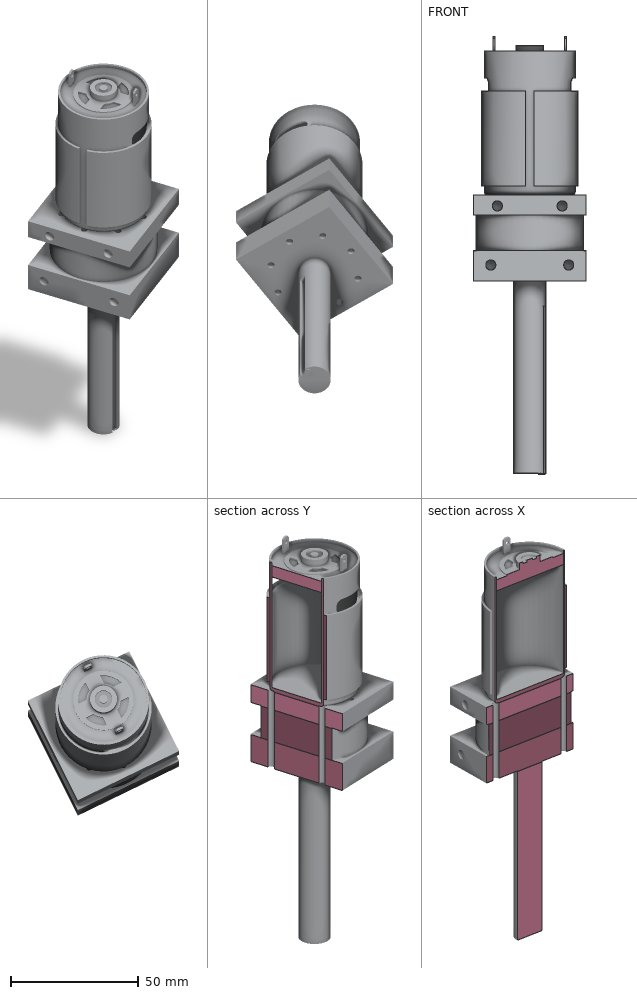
import cadquery as cq
import math


TOTAL_HEIGHT = 172.2
FRONT_BLOCK_BOTTOM = 76.0
FRONT_BLOCK_HEIGHT = 12.0
RING_HEIGHT = 14.0
REAR_BLOCK_HEIGHT = 8.0
RING_BOTTOM = FRONT_BLOCK_BOTTOM + FRONT_BLOCK_HEIGHT
REAR_BLOCK_BOTTOM = RING_BOTTOM + RING_HEIGHT
CAN_BOTTOM = REAR_BLOCK_BOTTOM + REAR_BLOCK_HEIGHT
CAN_TOP = 166.5

SHAFT_RADIUS = 6.4
SHAFT_BOTTOM = 0.3
KEYWAY_WIDTH = 3.1
KEYWAY_DEPTH = 1.5
KEYWAY_TOP = 66.1
KEYWAY_ANGLE = -16.7
PIP_RADIUS = 1.29
PIP_X = 4.6

BLOCK_SIDE = 44.5
RING_RADIUS = 21.2
SCREW_CIRCLE_RADIUS = 17.4
SCREW_HOLE_RADIUS = 1.4
SCREW_COUNT = 8
SIDE_HOLE_RADIUS = 1.98
SIDE_HOLE_DEPTH = 6.9
DRILL_POINT_ANGLE = 118.0
FRONT_BLOCK_HOLE_X = 15.3
FRONT_BLOCK_HOLE_Z = 82.3
REAR_BLOCK_HOLE_X = 12.7
REAR_BLOCK_HOLE_Z = 105.5

CAN_RADIUS = 17.9
CAN_WALL = 0.9
CAN_INNER_RADIUS = CAN_RADIUS - CAN_WALL
CAN_BOTTOM_FILLET = 1.4
VENT_WIDTH = 15.5
VENT_BOTTOM = 149.5
VENT_TOP = 155.8
VENT_CORNER_RADIUS = 2.5

FLUX_RING_RADIUS = 19.0
FLUX_RING_BOTTOM = 113.5
FLUX_RING_TOP = 150.6
FLUX_RING_GAP = 3.5

CAP_RECESS = 1.4
CAP_THICKNESS = 5.2
CAP_FACE = CAN_TOP - CAP_RECESS
DISC_RADIUS = 11.9
DISC_HEIGHT = 0.5
DISC_TOP = CAP_FACE + DISC_HEIGHT
POCKET_OUTER_RADIUS = 10.0
POCKET_INNER_RADIUS = 6.7
POCKET_DEPTH = 0.9
SPOKE_WIDTH = 6.4
BOSS_RADIUS = 5.3
BOSS_TOP = 168.5
BORE_RADIUS = 3.5
BORE_DEPTH = 0.9
SPINDLE_RADIUS = 1.64

TERMINAL_X = 14.03
TERMINAL_THICKNESS = 0.9
TERMINAL_WIDTH = 3.3
TERMINAL_CHAMFER = 0.7
TERMINAL_HOLE_RADIUS = 0.77
TERMINAL_HOLE_Z = TOTAL_HEIGHT - 2.4


def cylinder(radius, bottom, top):
    return cq.Workplane("XY").workplane(offset=bottom).circle(radius).extrude(top - bottom)


def tube(outer_radius, inner_radius, bottom, top):
    return (
        cq.Workplane("XY")
        .workplane(offset=bottom)
        .circle(outer_radius)
        .circle(inner_radius)
        .extrude(top - bottom)
    )


def upright_box(length_x, width_y, bottom, top):
    return cq.Workplane("XY").workplane(offset=bottom).rect(length_x, width_y).extrude(top - bottom)


def make_output_shaft():
    shaft = cylinder(SHAFT_RADIUS, SHAFT_BOTTOM, FRONT_BLOCK_BOTTOM)
    cutter_x = SHAFT_RADIUS - KEYWAY_DEPTH + SHAFT_RADIUS / 2
    keyway = (
        upright_box(SHAFT_RADIUS, KEYWAY_WIDTH, SHAFT_BOTTOM, KEYWAY_TOP)
        .translate((cutter_x, 0, 0))
        .rotate((0, 0, 0), (0, 0, 1), KEYWAY_ANGLE)
    )
    pip = cylinder(PIP_RADIUS, 0, SHAFT_BOTTOM).translate((PIP_X, 0, 0))
    return shaft.cut(keyway).union(pip)


def screw_holes(bottom, height):
    return (
        cq.Workplane("XY")
        .workplane(offset=bottom)
        .polarArray(SCREW_CIRCLE_RADIUS, 0, 360, SCREW_COUNT)
        .circle(SCREW_HOLE_RADIUS)
        .extrude(height)
    )


def side_hole(x, z):
    """Blind drilled hole with a conical end, running in from the -Y side."""
    point_length = SIDE_HOLE_RADIUS / math.tan(math.radians(DRILL_POINT_ANGLE / 2))
    half_profile = (
        cq.Workplane("XY")
        .polyline([
            (0, 0),
            (SIDE_HOLE_RADIUS, 0),
            (SIDE_HOLE_RADIUS, SIDE_HOLE_DEPTH),
            (0, SIDE_HOLE_DEPTH + point_length),
        ])
        .close()
    )
    return half_profile.revolve(360, (0, 0), (0, 1)).translate((x, -BLOCK_SIDE / 2, z))


def make_block(bottom, height, hole_x, hole_z):
    block = upright_box(BLOCK_SIDE, BLOCK_SIDE, bottom, bottom + height)
    block = block.cut(screw_holes(bottom, height))
    for x in (-hole_x, hole_x):
        block = block.cut(side_hole(x, hole_z))
    return block


def make_gear_ring():
    ring = cylinder(RING_RADIUS, RING_BOTTOM, REAR_BLOCK_BOTTOM)
    return ring.cut(screw_holes(RING_BOTTOM, RING_HEIGHT))


def make_can():
    can = cylinder(CAN_RADIUS, CAN_BOTTOM, CAN_TOP).faces("<Z").edges().fillet(CAN_BOTTOM_FILLET)
    can = can.cut(cylinder(CAN_INNER_RADIUS, CAN_BOTTOM + 2 * CAN_WALL, CAN_TOP))
    vent = upright_box(2 * FLUX_RING_RADIUS, VENT_WIDTH, VENT_BOTTOM, VENT_TOP)
    return can.cut(vent.edges("|X").fillet(VENT_CORNER_RADIUS))


def make_flux_ring():
    ring = tube(FLUX_RING_RADIUS, CAN_RADIUS, FLUX_RING_BOTTOM, FLUX_RING_TOP)
    gap = upright_box(FLUX_RING_GAP, FLUX_RING_RADIUS, FLUX_RING_BOTTOM, FLUX_RING_TOP)
    return ring.cut(gap.translate((0, -FLUX_RING_RADIUS, 0)))


def cap_pockets():
    """Ring-shaped recess in the disc, divided into four pockets by two crossing spokes."""
    floor = DISC_TOP - POCKET_DEPTH
    pockets = tube(POCKET_OUTER_RADIUS, POCKET_INNER_RADIUS, floor, DISC_TOP)
    spoke_x = upright_box(2 * DISC_RADIUS, SPOKE_WIDTH, floor, DISC_TOP)
    spoke_y = upright_box(SPOKE_WIDTH, 2 * DISC_RADIUS, floor, DISC_TOP)
    return pockets.cut(spoke_x).cut(spoke_y)


def terminal(x):
    blade = (
        upright_box(TERMINAL_THICKNESS, TERMINAL_WIDTH, CAP_FACE, TOTAL_HEIGHT)
        .edges("|X and >Z")
        .chamfer(TERMINAL_CHAMFER)
    )
    hole = (
        cq.Workplane("YZ")
        .center(0, TERMINAL_HOLE_Z)
        .circle(TERMINAL_HOLE_RADIUS)
        .extrude(TERMINAL_THICKNESS, both=True)
    )
    return blade.cut(hole).translate((x, 0, 0))


def make_end_cap():
    cap = cylinder(CAN_INNER_RADIUS, CAP_FACE - CAP_THICKNESS, CAP_FACE)
    cap = cap.union(cylinder(DISC_RADIUS, CAP_FACE, DISC_TOP))
    cap = cap.cut(cap_pockets())
    cap = cap.union(cylinder(BOSS_RADIUS, CAP_FACE, BOSS_TOP))
    cap = cap.cut(tube(BORE_RADIUS, SPINDLE_RADIUS, BOSS_TOP - BORE_DEPTH, BOSS_TOP))
    for x in (-TERMINAL_X, TERMINAL_X):
        cap = cap.union(terminal(x))
    return cap


output_shaft = make_output_shaft()
front_block = make_block(FRONT_BLOCK_BOTTOM, FRONT_BLOCK_HEIGHT, FRONT_BLOCK_HOLE_X, FRONT_BLOCK_HOLE_Z)
gear_ring = make_gear_ring()
rear_block = make_block(REAR_BLOCK_BOTTOM, REAR_BLOCK_HEIGHT, REAR_BLOCK_HOLE_X, REAR_BLOCK_HOLE_Z)
can = make_can()
flux_ring = make_flux_ring()
end_cap = make_end_cap()

result = cq.Compound.makeCompound([
    output_shaft.val(),
    front_block.val(),
    gear_ring.val(),
    rear_block.val(),
    can.val(),
    flux_ring.val(),
    end_cap.val(),
])